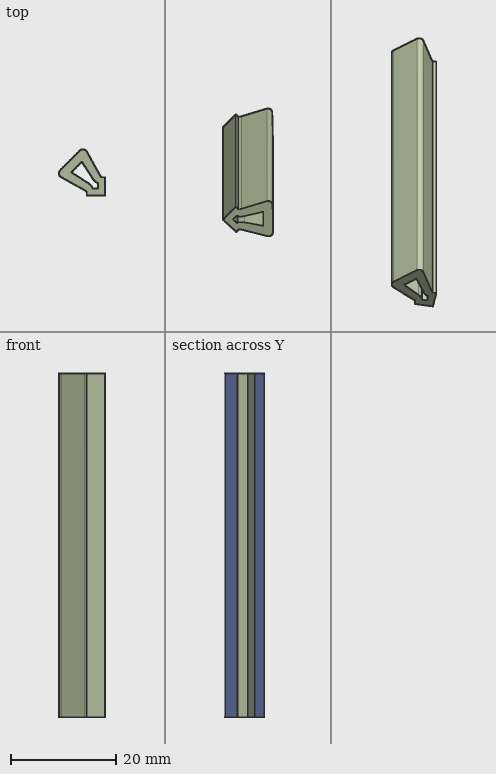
import cadquery as cq
import math

length = 65.5
overall_width = 8.85

foot_width = 3.55
foot_edge_height = 0.7
leg_root = (-4.0, 1.05)
leg_angle = 29.0
corner_radius = 0.85

foot_wall = 1.4
cavity_foot_width = 2.4
cavity_foot_top = 1.6
cavity_leg_root = (-3.3, 2.4)
cavity_back_corner = (-6.4, 4.45)

slope = math.radians(leg_angle)
corner_x = -overall_width + corner_radius
leg_y = leg_root[1] + (leg_root[0] - corner_x) * math.tan(slope)
corner_y = leg_y + corner_radius / math.cos(slope)


def corner_point(angle):
    """Point on the rounded back corner at an angle in degrees."""
    turn = math.radians(angle)
    return (
        corner_x + corner_radius * math.cos(turn),
        corner_y + corner_radius * math.sin(turn),
    )


def diagonal_point(point):
    """Foot of the perpendicular from a point to the symmetry plane."""
    offset = (point[1] - point[0]) / 2
    return (-offset, offset)


def mirrored(half):
    """Complete a half body across the diagonal symmetry plane."""
    return half.union(half.mirror(cq.Vector(1, 1, 0)))


def outer_body():
    back_tangent = corner_point(135)
    half = (
        cq.Workplane("XY")
        .moveTo(*diagonal_point(back_tangent))
        .lineTo(*back_tangent)
        .threePointArc(corner_point(180), corner_point(270 - leg_angle))
        .lineTo(*leg_root)
        .tangentArcPoint((-foot_width, foot_edge_height), relative=False)
        .lineTo(-foot_width, 0)
        .lineTo(0, 0)
        .close()
        .extrude(length)
    )
    return mirrored(half)


def cavity():
    half = (
        cq.Workplane("XY")
        .moveTo(*diagonal_point(cavity_back_corner))
        .lineTo(*cavity_back_corner)
        .lineTo(*cavity_leg_root)
        .tangentArcPoint((-cavity_foot_width, cavity_foot_top), relative=False)
        .lineTo(-cavity_foot_width, foot_wall)
        .lineTo(-foot_wall, foot_wall)
        .close()
        .extrude(length)
    )
    return mirrored(half)


result = outer_body().cut(cavity()).clean()